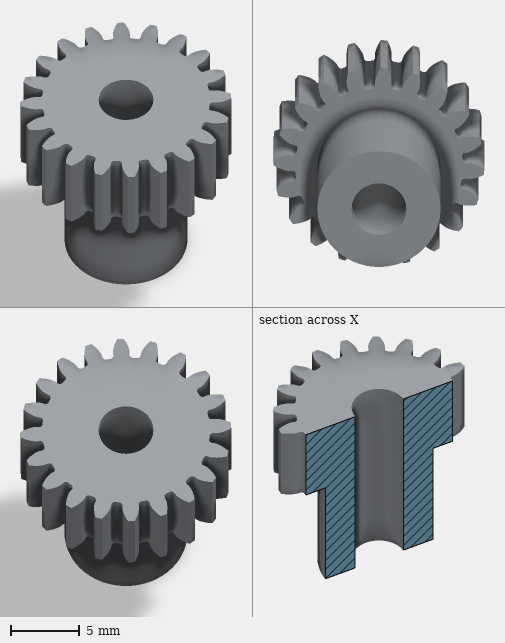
import cadquery as cq
import math

overall_width = 15.28
overall_height = 15.0
gear_height = 6.0
hub_diameter = 9.0
bore_diameter = 4.0

tooth_count = 20
pressure_angle = math.radians(20)
addendum_factor = 1.0
dedendum_factor = 1.25
root_fillet_factor = 0.35
flank_point_count = 9


def involute(angle):
    return math.tan(angle) - angle


def flank_half_angle(radius_ratio):
    """Angle between tooth centreline and flank, at a radius given as a ratio of the base radius.

    The flank is an involute outside the base circle and radial inside it.
    """
    local_pressure_angle = math.acos(min(1.0, 1 / radius_ratio))
    pitch_half_angle = math.pi / (2 * tooth_count)
    return pitch_half_angle + involute(pressure_angle) - involute(local_pressure_angle)


tooth_pitch = 2 * math.pi / tooth_count
tip_to_pitch = 1 + 2 * addendum_factor / tooth_count
tip_half_angle = flank_half_angle(tip_to_pitch / math.cos(pressure_angle))
tip_radius = overall_width / 2 / math.cos(tooth_pitch / 2 - tip_half_angle)
pitch_radius = tip_radius / tip_to_pitch
module = 2 * pitch_radius / tooth_count
base_radius = pitch_radius * math.cos(pressure_angle)
root_radius = pitch_radius - dedendum_factor * module
root_fillet_radius = root_fillet_factor * module

hub_height = overall_height - gear_height


def polar(radius, angle):
    return (radius * math.cos(angle), radius * math.sin(angle))


def flank_points(tooth_angle, side):
    """Points along one flank, root to tip; side is -1 or +1 of the tooth centreline."""
    points = []
    for step in range(flank_point_count):
        radius = root_radius + (tip_radius - root_radius) * step / (flank_point_count - 1)
        points.append(polar(radius, tooth_angle + side * flank_half_angle(radius / base_radius)))
    return points


def gear_outline():
    """Closed outline of the toothed rim, starting at the foot of the first tooth."""
    first_tooth_angle = tooth_pitch / 2
    outline = cq.Workplane("XY").workplane(offset=hub_height)
    outline = outline.moveTo(*flank_points(first_tooth_angle, -1)[0])
    for tooth in range(tooth_count):
        tooth_angle = first_tooth_angle + tooth * tooth_pitch
        rising_flank = flank_points(tooth_angle, -1)
        falling_flank = flank_points(tooth_angle, 1)[::-1]
        gap_angle = tooth_angle + tooth_pitch / 2
        next_tooth_foot = flank_points(tooth_angle + tooth_pitch, -1)[0]
        outline = (
            outline.spline(rising_flank[1:], includeCurrent=True)
            .threePointArc(polar(tip_radius, tooth_angle), falling_flank[0])
            .spline(falling_flank[1:], includeCurrent=True)
            .threePointArc(polar(root_radius, gap_angle), next_tooth_foot)
        )
    return outline.close()


def make_gear():
    gear = gear_outline().extrude(gear_height)
    middle_of_root_flank = (root_radius + base_radius) / 2
    root_corners = gear.edges("|Z").filter(
        lambda edge: math.hypot(edge.Center().x, edge.Center().y) < middle_of_root_flank
    )
    return root_corners.fillet(root_fillet_radius)


def make_hub():
    return cq.Workplane("XY").circle(hub_diameter / 2).extrude(hub_height)


def make_bore():
    return cq.Workplane("XY").circle(bore_diameter / 2).extrude(overall_height)


result = make_hub().union(make_gear()).cut(make_bore())